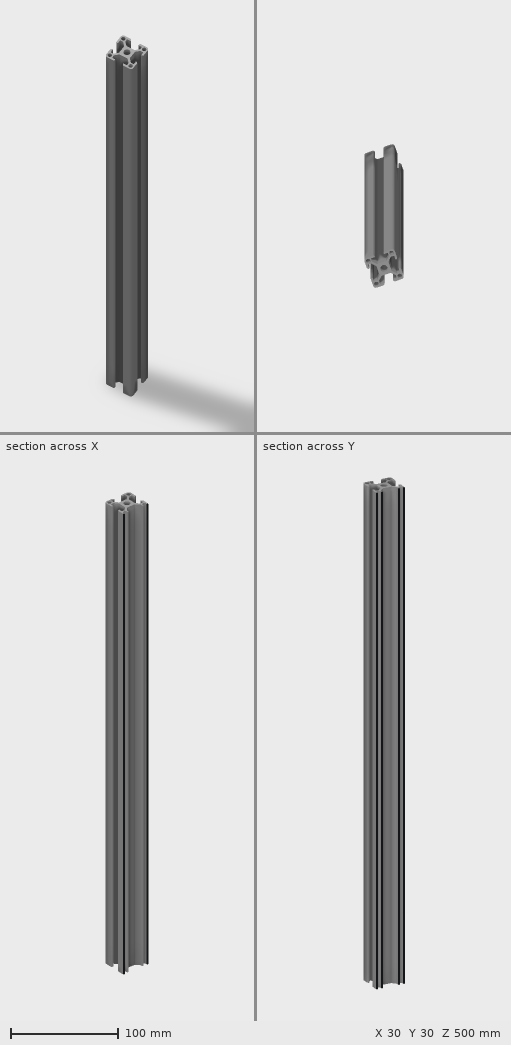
import cadquery as cq
import math

LENGTH = 500.0
SIDE = 30.0
CORNER_RADIUS = 2.7

HALF_OPENING = 4.4
SLOT_INNER_WIDTH = 16.5
SLOT_DEPTH = 9.0
LIP_THICKNESS = 2.1
LIP_CHAMFER = 1.0
SLOT_CORNER_RADIUS = 0.5

RIB_THICKNESS = 2.1

CENTER_BORE = 6.5
CORNER_BORE = 4.1
CORNER_WALL = 1.4

half_side = SIDE / 2


def bar_blank():
    """Solid bar, standing on Z = 0 and centred on the Z axis."""
    return cq.Workplane("XY").rect(SIDE, SIDE).extrude(LENGTH).edges("|Z").fillet(CORNER_RADIUS)


def slot_cutter():
    """T-slot opening toward +Y: chamfered mouth, wide chamber, 45 degree sides, flat floor."""
    half_inner = SLOT_INNER_WIDTH / 2
    lip_inner = half_side - LIP_THICKNESS
    floor = half_side - SLOT_DEPTH

    rib_shift = RIB_THICKNESS / 2 * math.sqrt(2)
    half_floor = floor - rib_shift
    slope_top = half_inner + rib_shift

    arc_x = half_inner - SLOT_CORNER_RADIUS
    arc_y = lip_inner - SLOT_CORNER_RADIUS
    arc_reach = SLOT_CORNER_RADIUS * math.sqrt(0.5)

    half_slot = (
        cq.Workplane("XY")
        .moveTo(0, floor)
        .lineTo(half_floor, floor)
        .lineTo(half_inner, slope_top)
        .lineTo(half_inner, arc_y)
        .threePointArc((arc_x + arc_reach, arc_y + arc_reach), (arc_x, lip_inner))
        .lineTo(HALF_OPENING, lip_inner)
        .lineTo(HALF_OPENING, half_side - LIP_CHAMFER)
        .lineTo(HALF_OPENING + LIP_CHAMFER, half_side)
        .lineTo(0, half_side)
    )
    return half_slot.mirrorY().extrude(LENGTH)


def center_bore():
    return cq.Workplane("XY").circle(CENTER_BORE / 2).extrude(LENGTH)


def corner_bores():
    """One round hollow inside each corner of the bar."""
    spacing = SIDE - 2 * CORNER_WALL - CORNER_BORE
    return (
        cq.Workplane("XY")
        .rect(spacing, spacing, forConstruction=True)
        .vertices()
        .circle(CORNER_BORE / 2)
        .extrude(LENGTH)
    )


result = bar_blank()
slot = slot_cutter()
for face in range(4):
    result = result.cut(slot.rotate((0, 0, 0), (0, 0, 1), 90 * face))
result = result.cut(center_bore()).cut(corner_bores())